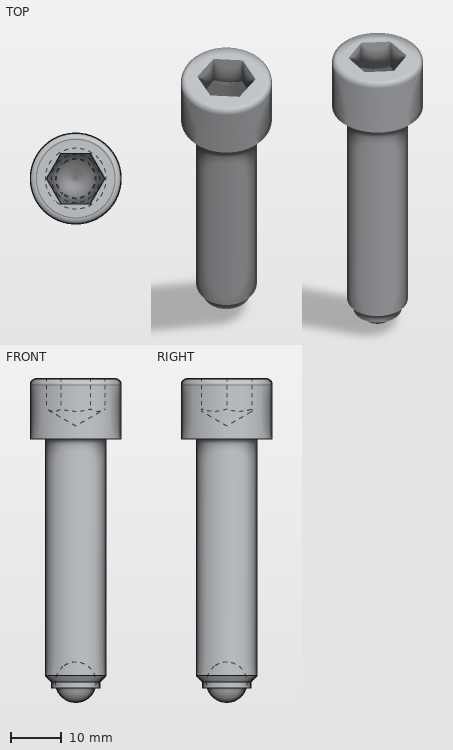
import cadquery as cq
import math

total_length = 64.0
head_diameter = 18.0
head_height = 12.0
head_edge_radius = 1.2
shank_diameter = 12.0
collar_diameter = 9.55
collar_height = 1.2
ball_diameter = 8.0
ball_protrusion = 2.8
socket_across_flats = 10.0
socket_depth = 6.0
socket_point_angle = 120.0

head_radius = head_diameter / 2
shank_radius = shank_diameter / 2
collar_radius = collar_diameter / 2
ball_radius = ball_diameter / 2
head_bottom = total_length - head_height
collar_bottom = ball_protrusion
collar_top = collar_bottom + collar_height
end_chamfer = shank_radius - collar_radius
socket_across_corners = socket_across_flats / math.cos(math.radians(30))
socket_corner_radius = socket_across_corners / 2
socket_point_depth = socket_corner_radius / math.tan(math.radians(socket_point_angle / 2))


def make_ball():
    """Ball seated in the end of the screw."""
    return cq.Workplane("XY").sphere(ball_radius).translate((0, 0, ball_radius))


def make_socket():
    """Hexagonal socket whose floor is a cone running down from the hexagon corners."""
    socket_floor = total_length - socket_depth
    socket_point = socket_floor - socket_point_depth
    hexagon = (
        cq.Workplane("XY", origin=(0, 0, socket_point))
        .polygon(6, socket_across_corners)
        .extrude(total_length - socket_point)
    )
    pointed_bore = (
        cq.Workplane("XZ")
        .moveTo(0, socket_point)
        .lineTo(socket_corner_radius, socket_floor)
        .lineTo(socket_corner_radius, total_length)
        .lineTo(0, total_length)
        .close()
        .revolve(360, (0, 0, 0), (0, 1, 0))
    )
    return hexagon.intersect(pointed_bore)


def make_screw(ball):
    """Cap screw with a rounded head, a chamfered shank and a collar around the ball."""
    blank = (
        cq.Workplane("XZ")
        .moveTo(0, collar_bottom)
        .lineTo(collar_radius, collar_bottom)
        .lineTo(collar_radius, collar_top)
        .lineTo(shank_radius, collar_top + end_chamfer)
        .lineTo(shank_radius, head_bottom)
        .lineTo(head_radius, head_bottom)
        .lineTo(head_radius, total_length)
        .lineTo(0, total_length)
        .close()
        .revolve(360, (0, 0, 0), (0, 1, 0))
    )
    rounded = blank.faces(">Z").edges().fillet(head_edge_radius)
    return rounded.cut(make_socket()).cut(ball).solids()


ball = make_ball()
screw = make_screw(ball)

result = cq.Compound.makeCompound([screw.val(), ball.val()])